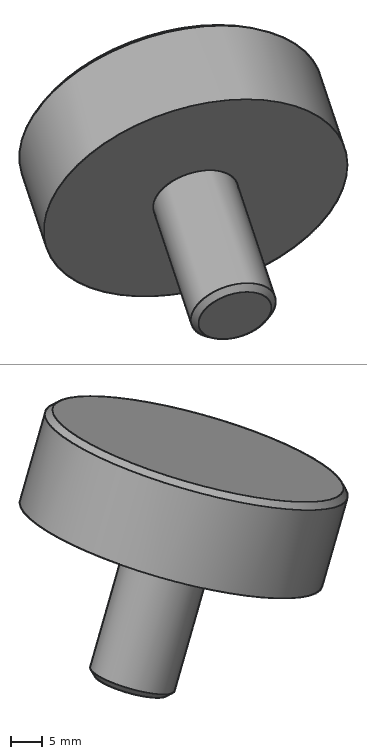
import cadquery as cq

head_diameter = 50.0
head_thickness = 16.0
head_chamfer = 1.0

stem_diameter = 14.0
overall_length = 40.0
stem_length = overall_length - head_thickness
stem_chamfer = 1.0


def make_head():
    """Disc starting at X = 0, chamfered around its front (-X) face."""
    disc = cq.Workplane("YZ").circle(head_diameter / 2).extrude(head_thickness)
    return disc.faces("<X").chamfer(head_chamfer)


def make_stem():
    """Plain pin behind the head, chamfered around its free (+X) end."""
    pin = (
        cq.Workplane("YZ", origin=(head_thickness, 0, 0))
        .circle(stem_diameter / 2)
        .extrude(stem_length)
    )
    return pin.faces(">X").chamfer(stem_chamfer)


result = make_head().union(make_stem())